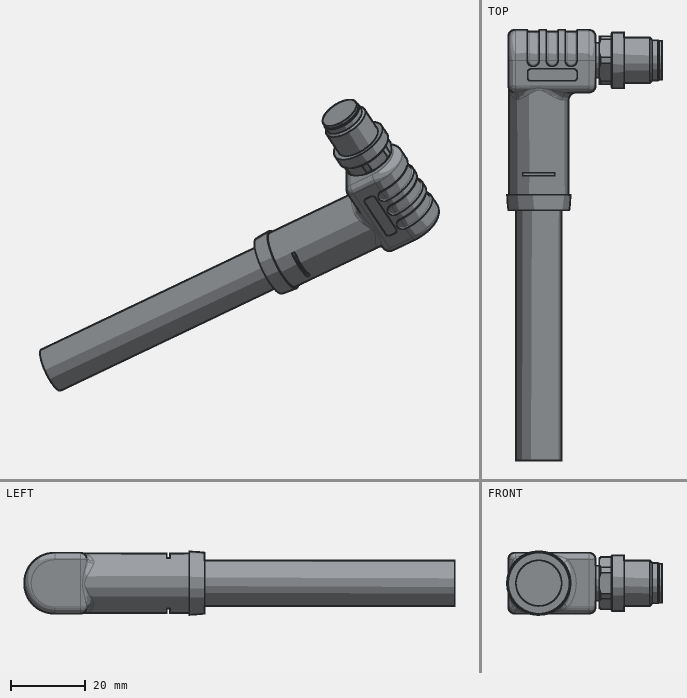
import cadquery as cq

total_length = 115.0

body_half_height = 8.2
body_left = -8.2
body_right = 15.2
body_front = -8.6
body_edge_radius = 1.8

sleeve_radius = 16.0 / 2
sleeve_fillet = 2.0
collar_start = -35.9
collar_end = -40.0
collar_radius = 17.0 / 2
collar_middle_radius = 8.4
collar_end_radius = 8.2
cable_radius = 12.2 / 2
cable_end = body_half_height - total_length

key_slot_center = -30.4
key_slot_width = 0.8
key_slot_floor = 6.8

groove_count = 3
groove_first = -1.5
groove_pitch = 5.1
groove_width = 3.2
groove_depth = 0.5
groove_floor_fillet = 0.4
label_left = -3.0
label_right = 10.2
label_back = -2.3
label_front = -5.5
label_corner_radius = 0.9
label_depth = 0.1

neck_radius = 9.4 / 2
nut_start = 16.1
nut_end = 19.3
nut_across_flats = 12.9
nut_corner_radius = 7.0
nut_chamfer = 0.5
ring_end = 22.8
ring_radius = 15.0 / 2
ring_chamfer = 0.3
barrel_end = 29.7
barrel_radius = 12.2 / 2
tip_start = 30.3
tip_radius = 10.8 / 2
tip_step_start = 31.8
tip_step_end = 32.1
tip_end_radius = 10.5 / 2
plug_end = 32.9


def cylinder_along_y(radius, start, end):
    return cq.Workplane("XZ", origin=(0, start, 0)).circle(radius).extrude(start - end)


def cylinder_along_x(radius, start, end):
    return cq.Workplane("YZ", origin=(start, 0, 0)).circle(radius).extrude(end - start)


def round_backed_block(half_height):
    """Housing-length block whose section is flat at the front and a half circle at the back."""
    return (
        cq.Workplane("YZ", origin=(body_left, 0, 0))
        .moveTo(body_front, -half_height)
        .lineTo(0, -half_height)
        .threePointArc((half_height, 0), (0, half_height))
        .lineTo(body_front, half_height)
        .close()
        .extrude(body_right - body_left)
    )


def make_housing_and_sleeve():
    housing = round_backed_block(body_half_height).edges().fillet(body_edge_radius)
    sleeve = cylinder_along_y(sleeve_radius, 0, collar_start)
    return housing.union(sleeve).edges("%BSPLINE").fillet(sleeve_fillet)


def make_collar():
    """Band that bulges out from the sleeve and narrows along an arc towards the cable."""
    middle = (collar_start + collar_end) / 2
    return (
        cq.Workplane("XY")
        .moveTo(0, collar_start)
        .lineTo(collar_radius, collar_start)
        .threePointArc((collar_middle_radius, middle), (collar_end_radius, collar_end))
        .lineTo(0, collar_end)
        .close()
        .revolve(360, (0, 0, 0), (0, 1, 0))
    )


def make_grip_groove(center):
    """Shallow round-ended groove that wraps over the back of the housing, with a rounded floor."""
    straight = cq.Workplane("XY").box(groove_width, 2 * body_half_height, 4 * body_half_height)
    straight = straight.translate((0, body_half_height, 0))
    end = cq.Workplane("XY").circle(groove_width / 2).extrude(2 * body_half_height, both=True)
    floor_radius = body_half_height - groove_depth
    floor_zone = cq.selectors.BoxSelector(
        (-groove_width, -body_half_height, -body_half_height),
        (groove_width, body_half_height, body_half_height),
        boundingbox=True,
    )
    return (
        straight.union(end)
        .cut(round_backed_block(floor_radius))
        .edges(floor_zone)
        .fillet(groove_floor_fillet)
        .translate((center, 0, 0))
    )


def make_label_recess(side):
    """Rounded rectangle sunk into the top (side 1) or bottom (side -1) face."""
    center = ((label_left + label_right) / 2, (label_back + label_front) / 2, side * body_half_height)
    return (
        cq.Workplane("XY")
        .box(label_right - label_left, label_back - label_front, 2 * label_depth)
        .edges("|Z")
        .fillet(label_corner_radius)
        .translate(center)
    )


def make_key_slot(side):
    """Flat-floored slot across the top (side 1) or bottom (side -1) of the sleeve."""
    depth = sleeve_radius - key_slot_floor
    slot = cq.Workplane("XY").box(2 * sleeve_radius, key_slot_width, depth)
    return slot.translate((0, key_slot_center, side * (key_slot_floor + depth / 2)))


def make_nut():
    """Hexagon with flats facing Y, its corners trimmed round and its housing end chamfered."""
    corner_trim = cylinder_along_x(nut_corner_radius, nut_start, nut_end)
    corner_trim = corner_trim.faces("<X").chamfer(nut_chamfer)
    return (
        cq.Workplane("YZ", origin=(nut_start, 0, 0))
        .polygon(6, nut_across_flats, circumscribed=True)
        .extrude(nut_end - nut_start)
        .intersect(corner_trim)
    )


def make_plug():
    """Neck, coupling ring, barrel and stepped tip turned about X."""
    profile = [
        (0, 0),
        (0, neck_radius),
        (nut_end, neck_radius),
        (nut_end, ring_radius - ring_chamfer),
        (nut_end + ring_chamfer, ring_radius),
        (ring_end, ring_radius),
        (ring_end, barrel_radius),
        (barrel_end, barrel_radius),
        (tip_start, tip_radius),
        (tip_step_start, tip_radius),
        (tip_step_end, tip_end_radius),
        (plug_end, tip_end_radius),
        (plug_end, 0),
    ]
    turned = cq.Workplane("XY").polyline(profile).close().revolve(360, (0, 0, 0), (1, 0, 0))
    return turned.union(make_nut())


result = make_housing_and_sleeve()
for index in range(groove_count):
    result = result.cut(make_grip_groove(groove_first + index * groove_pitch))
for side in (1, -1):
    result = result.cut(make_label_recess(side)).cut(make_key_slot(side))
cable = cylinder_along_y(cable_radius, 0, cable_end)
result = result.union(make_collar()).union(cable).union(make_plug())